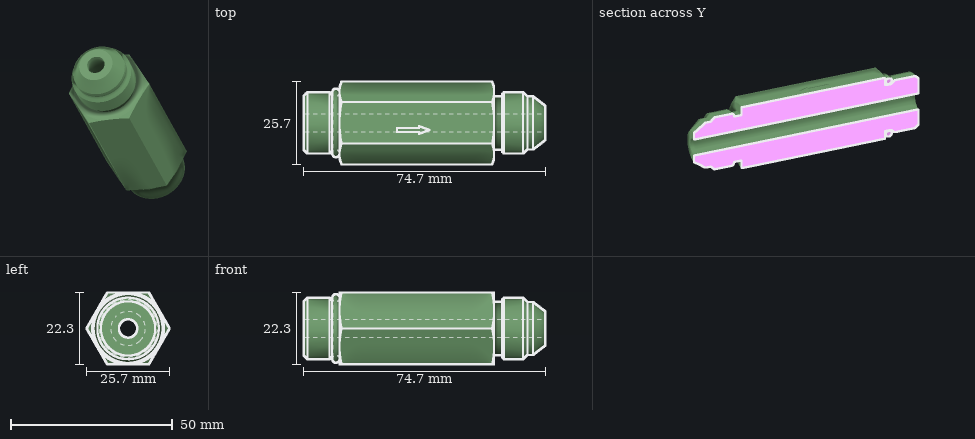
import cadquery as cq
import math

total_length = 74.7
inlet_chamfer = 1.1
inlet_thread_end = 8.0
hex_start = 11.05
hex_end = 58.85
collar_start = 61.3
collar_start_chamfer = 0.6
collar_rim_end = 67.8
nose_start = 69.1
cone_start = 70.9

thread_diameter = 19.05
inlet_neck_diameter = 16.8
outlet_neck_diameter = 16.65
nose_diameter = 16.5
cone_tip_diameter = 10.6
bore_diameter = 5.6

hex_across_flats = 22.25
hex_across_corners = hex_across_flats / math.cos(math.radians(30))
hex_chamfer_angle = 20.0

arrow_tail_x = 28.8
arrow_head_x = 35.6
arrow_tip_x = 38.8
arrow_center_y = -2.2
arrow_shaft_width = 1.1
arrow_head_width = 2.4
arrow_depth = 0.2

ring_section_diameter = 2.25
ring_mean_diameter = inlet_neck_diameter + ring_section_diameter
ring_center_x = hex_start - ring_section_diameter / 2


def revolve_about_x(points):
    """Turn a closed outline of (x, radius) points about the X axis."""
    return cq.Workplane("XY").polyline(points).close().revolve(360, (0, 0, 0), (1, 0, 0))


def make_inlet_end():
    """Threaded inlet spigot with a chamfered tip and an undercut neck for the O-ring."""
    thread_radius = thread_diameter / 2
    neck_radius = inlet_neck_diameter / 2
    runout = thread_radius - neck_radius
    return revolve_about_x([
        (0, 0),
        (0, thread_radius - inlet_chamfer),
        (inlet_chamfer, thread_radius),
        (inlet_thread_end, thread_radius),
        (inlet_thread_end + runout, neck_radius),
        (hex_start, neck_radius),
        (hex_start, 0),
    ])


def make_hex_section():
    """Hexagonal bar with two flats facing +Z and -Z and both ends chamfered."""
    hex_bar = (
        cq.Workplane("YZ", origin=(hex_start, 0, 0))
        .polygon(6, hex_across_corners)
        .extrude(hex_end - hex_start)
    )
    corner_radius = hex_across_corners / 2
    flat_radius = hex_across_flats / 2
    chamfer_length = (corner_radius - flat_radius) * math.tan(math.radians(hex_chamfer_angle))
    envelope = revolve_about_x([
        (hex_start, 0),
        (hex_start, flat_radius),
        (hex_start + chamfer_length, corner_radius),
        (hex_end - chamfer_length, corner_radius),
        (hex_end, flat_radius),
        (hex_end, 0),
    ])
    return hex_bar.intersect(envelope)


def make_outlet_end():
    """Outlet spigot with a neck, a threaded collar and a flare cone."""
    collar_radius = thread_diameter / 2
    neck_radius = outlet_neck_diameter / 2
    nose_radius = nose_diameter / 2
    return revolve_about_x([
        (hex_end, 0),
        (hex_end, neck_radius),
        (collar_start, neck_radius),
        (collar_start, collar_radius - collar_start_chamfer),
        (collar_start + collar_start_chamfer, collar_radius),
        (collar_rim_end, collar_radius),
        (nose_start, nose_radius),
        (cone_start, nose_radius),
        (total_length, cone_tip_diameter / 2),
        (total_length, 0),
    ])


def make_flow_arrow():
    """Shallow arrow-shaped cutter sunk into the +Z flat of the hexagon."""
    shaft_half = arrow_shaft_width / 2
    head_half = arrow_head_width / 2
    return (
        cq.Workplane("XY", origin=(0, arrow_center_y, hex_across_flats / 2))
        .polyline([
            (arrow_tail_x, -shaft_half),
            (arrow_head_x, -shaft_half),
            (arrow_head_x, -head_half),
            (arrow_tip_x, 0),
            (arrow_head_x, head_half),
            (arrow_head_x, shaft_half),
            (arrow_tail_x, shaft_half),
        ])
        .close()
        .extrude(-arrow_depth)
    )


def make_housing():
    """Hexagonal housing with its two spigots, the through bore and the flow arrow."""
    bore = cq.Workplane("YZ").circle(bore_diameter / 2).extrude(total_length)
    body = make_inlet_end().union(make_hex_section()).union(make_outlet_end())
    return body.cut(bore).cut(make_flow_arrow())


def make_o_ring():
    """Round-section sealing ring around the inlet neck."""
    return (
        cq.Workplane("XY")
        .center(ring_center_x, ring_mean_diameter / 2)
        .circle(ring_section_diameter / 2)
        .revolve(360, (0, -ring_mean_diameter / 2, 0), (1, -ring_mean_diameter / 2, 0))
    )


housing = make_housing()
o_ring = make_o_ring()
result = cq.Compound.makeCompound([housing.val(), o_ring.val()])